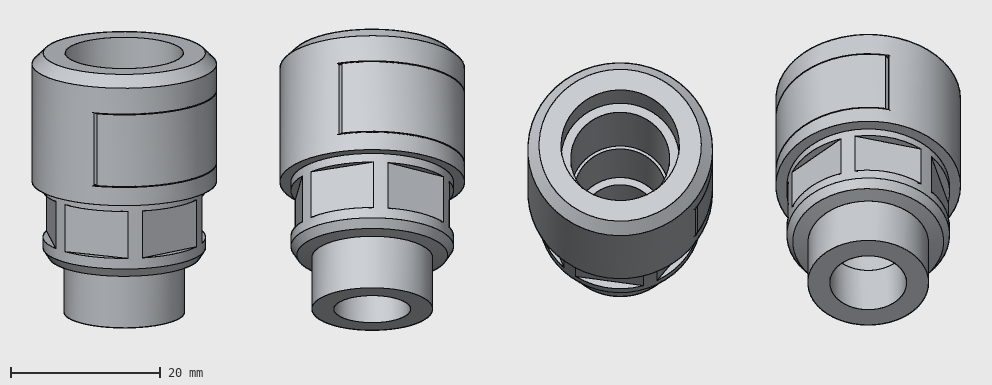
import cadquery as cq

total_height = 35.9
nut_bottom = 18.13
tube_top = 7.35

nut_radius = 12.35
nut_chamfer = 1.5
nut_bore_radius = 7.9

collar_radius = 10.88
collar_bottom = 8.95
underside_radius = 10.1
underside_height = 7.72
tube_radius = 8.08
neck_recess_depth = 5.03
neck_top = total_height - neck_recess_depth

flat_count = 6
flat_distance = 9.87
flat_bottom = 10.4
flat_top = 16.9
cutter_margin = 0.35

upper_bore_radius = 6.6
middle_bore_radius = 6.17
lower_bore_radius = 5.15

recess_bottom = 20.65
recess_height = 10.15
recess_half_width = 10.38
recess_depth = 0.4
plate_side_gap = 0.25
plate_end_gap = 0.1


def cylinder(radius, bottom, top):
    return cq.Workplane("XY").workplane(offset=bottom).circle(radius).extrude(top - bottom)


def curved_panel(bottom, height, half_width):
    """Curved panel on the +X side, as thick as the recess is deep, with sides parallel to X."""
    top = bottom + height
    shell = cylinder(nut_radius, bottom, top).cut(
        cylinder(nut_radius - recess_depth, bottom, top)
    )
    window = (
        cq.Workplane("XY")
        .workplane(offset=bottom)
        .rect(nut_radius, 2 * half_width)
        .extrude(height)
        .translate((nut_radius / 2, 0, 0))
    )
    return shell.intersect(window)


def make_nut():
    nut = cylinder(nut_radius, nut_bottom, total_height).faces(">Z").edges().chamfer(nut_chamfer)
    nut = nut.cut(cylinder(nut_bore_radius, nut_bottom, total_height))
    return nut.cut(curved_panel(recess_bottom, recess_height, recess_half_width))


def make_label_plate():
    return curved_panel(
        recess_bottom + plate_end_gap,
        recess_height - 2 * plate_end_gap,
        recess_half_width - plate_side_gap,
    )


def make_flat_cutter():
    """Ring around a hexagonal hole; it shaves the collar down to the wrench flats."""
    height = flat_top - flat_bottom
    hexagon = (
        cq.Workplane("XY")
        .workplane(offset=flat_bottom)
        .polygon(flat_count, 2 * flat_distance, circumscribed=True)
        .extrude(height)
    )
    return cylinder(collar_radius + cutter_margin, flat_bottom, flat_top).cut(hexagon)


def make_lower_body():
    outline = [
        (0, 0),
        (tube_radius, 0),
        (tube_radius, tube_top),
        (underside_radius, underside_height),
        (collar_radius, collar_bottom),
        (collar_radius, nut_bottom),
        (nut_bore_radius, nut_bottom),
        (nut_bore_radius, neck_top),
        (0, neck_top),
    ]
    body = cq.Workplane("XZ").polyline(outline).close().revolve(360, (0, 0, 0), (0, 1, 0))
    body = body.cut(make_flat_cutter())
    body = body.cut(cylinder(lower_bore_radius, 0, tube_top))
    body = body.cut(cylinder(middle_bore_radius, tube_top, nut_bottom))
    return body.cut(cylinder(upper_bore_radius, nut_bottom, neck_top))


nut = make_nut()
lower_body = make_lower_body()
label_plate = make_label_plate()

result = cq.Compound.makeCompound(
    [nut.solids().val(), lower_body.solids().val(), label_plate.solids().val()]
)